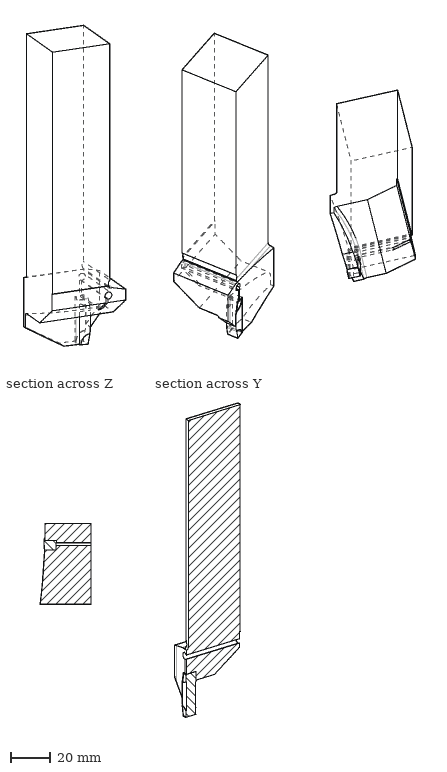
import cadquery as cq
import math

total_height = 170.0
total_width = 35.4
shank_size = 32.0
shank_left = total_width - shank_size

head_depth = 41.1
head_bottom = 19.7
head_right = 34.8
step_height = 40.0
chamfer_start_x = 19.5
chamfer_top = 31.0
shoulder_edge_height = 38.0
shoulder_inner_height = 38.6
shoulder_radius = 1.4
back_edge_height = 36.7
back_slope_top = 38.6
relief_radius = 2.5
relief_depth = 0.8
relief_y = shank_size - relief_depth + relief_radius
relief_z = back_slope_top + relief_radius

blade_bottom = 0.7
bevel_height = 11.5
bevel_depth = 19.0
jaw_bottom = 9.0
jaw_back_height = 18.5
outer_flat_y = 39.5
outer_flat_x = 2.5
inner_front_x = 2.0
inner_middle = (6.1, 11.9)
inner_end = (8.0, 25.5)
blade_fillet = 1.5

hole_y = 31.5
hole_z = 34.7
hole_radius = 1.9
slot_y = 30.6
slot_width = 1.2

insert_height = 24.8
insert_middle = insert_height / 2
insert_front = 27.5
insert_tip_back = 32.3
insert_back = 33.7
insert_shoulder_y = 33.3
insert_shoulder_z = 5.6
insert_waist_z = 7.1
end_relief = 0.3
insert_left = 2.2
insert_right = 8.0
tip_overhang = 0.2
tip_front = 28.4
tip_start_z = 0.5
tip_curve = (30.3, 4.5)


def side_prism(outline, x_start, x_end):
    """Extrude a Y-Z outline along X between two positions."""
    return outline.extrude(x_end - x_start).translate((x_start, 0, 0))


def make_front_block():
    """Shank and head outline in X-Z, as deep as the head."""
    fillet_x = shank_left - shoulder_radius
    fillet_z = shoulder_inner_height + shoulder_radius
    diagonal = shoulder_radius * math.sqrt(0.5)
    outline = (
        cq.Workplane("XZ")
        .moveTo(0, head_bottom)
        .lineTo(chamfer_start_x, head_bottom)
        .lineTo(head_right, chamfer_top)
        .lineTo(head_right, step_height)
        .lineTo(total_width, step_height)
        .lineTo(total_width, total_height)
        .lineTo(shank_left, total_height)
        .lineTo(shank_left, fillet_z)
        .threePointArc(
            (fillet_x + diagonal, fillet_z - diagonal),
            (fillet_x, shoulder_inner_height),
        )
        .lineTo(0, shoulder_edge_height)
        .close()
    )
    return outline.extrude(-head_depth)


def outer_arc_middle():
    """Midpoint of the outer arc, which is tangent to the flat at its back end."""
    radius = (outer_flat_y ** 2 + outer_flat_x ** 2) / (2 * outer_flat_x)
    middle_y = outer_flat_y / 2
    middle_x = outer_flat_x - radius + math.sqrt(radius ** 2 - middle_y ** 2)
    return (middle_x, middle_y)


def make_blade():
    """Wall between the inner arc and the left limit, up to the head underside."""
    plan = (
        cq.Workplane("XY")
        .moveTo(0, 0)
        .lineTo(inner_front_x, 0)
        .threePointArc(inner_middle, inner_end)
        .lineTo(inner_end[0], head_depth)
        .lineTo(0, head_depth)
        .close()
    )
    return plan.extrude(head_bottom)


def make_plan_limit():
    """Full-height prism that gives the left side its curved face."""
    plan = (
        cq.Workplane("XY")
        .moveTo(0, 0)
        .threePointArc(outer_arc_middle(), (outer_flat_x, outer_flat_y))
        .lineTo(outer_flat_x, head_depth)
        .lineTo(total_width, head_depth)
        .lineTo(total_width, 0)
        .close()
    )
    return plan.extrude(total_height)


def make_side_limit():
    """Y-Z outline of the whole holder."""
    outline = cq.Workplane("YZ").polyline([
        (0, bevel_height),
        (bevel_depth, blade_bottom),
        (insert_front, blade_bottom),
        (insert_front, jaw_bottom),
        (insert_back, jaw_bottom),
        (head_depth, jaw_back_height),
        (head_depth, back_edge_height),
        (relief_y, back_slope_top),
        (shank_size, back_slope_top),
        (shank_size, total_height),
        (0, total_height),
    ]).close()
    return side_prism(outline, 0, total_width)


def make_insert():
    """Waisted body with a slightly wider tip at each end."""
    outline = (
        cq.Workplane("YZ")
        .polyline([
            (insert_front, end_relief),
            (insert_tip_back, 0),
            (insert_shoulder_y, insert_shoulder_z),
            (insert_back, insert_waist_z),
            (insert_back, insert_height - insert_waist_z),
            (insert_shoulder_y, insert_height - insert_shoulder_z),
            (insert_tip_back, insert_height),
            (insert_front, insert_height - end_relief),
        ])
        .close()
    )
    body = side_prism(outline, insert_left, insert_right)

    tip_outline = (
        cq.Workplane("YZ")
        .moveTo(tip_front, tip_start_z)
        .lineTo(insert_tip_back, 0)
        .lineTo(insert_shoulder_y, insert_shoulder_z)
        .threePointArc(tip_curve, (tip_front, tip_start_z))
        .close()
    )
    tip = side_prism(tip_outline, insert_left - tip_overhang, insert_right + tip_overhang)
    upper_tip = tip.mirror("XY", (0, 0, insert_middle))
    return body.union(tip).union(upper_tip)


def make_holder(insert):
    """Holder with relief groove, clamping slot and insert pocket."""
    holder = make_front_block().union(make_blade())
    inner_corner = cq.selectors.BoxSelector(
        (inner_front_x, 0, head_bottom - blade_fillet),
        (inner_end[0] + blade_fillet, head_depth, head_bottom + blade_fillet),
    )
    holder = holder.edges(inner_corner).fillet(blade_fillet)
    holder = holder.intersect(make_plan_limit()).intersect(make_side_limit())

    relief = cq.Workplane("YZ").center(relief_y, relief_z).circle(relief_radius)
    hole = cq.Workplane("YZ").center(hole_y, hole_z).circle(hole_radius)
    slot_bottom = insert_height - end_relief
    slot_height = hole_z - slot_bottom
    slot_middle = slot_bottom + slot_height / 2
    slot = cq.Workplane("YZ").center(slot_y, slot_middle).rect(slot_width, slot_height)
    for cutter in (relief, hole, slot):
        holder = holder.cut(side_prism(cutter, 0, total_width))
    return holder.cut(insert)


insert = make_insert()
holder = make_holder(insert)

result = cq.Compound.makeCompound([holder.solids().val(), insert.solids().val()])